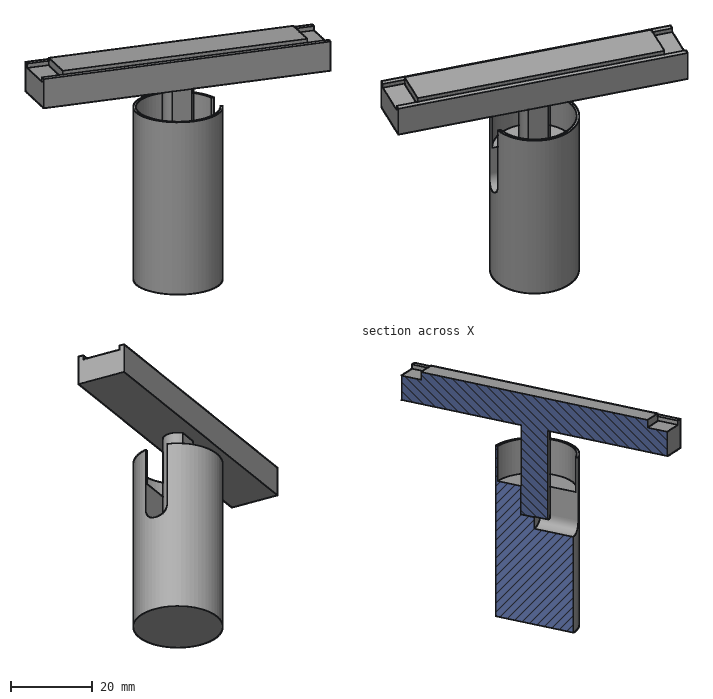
import cadquery as cq

lamp_height = 45.0
neck_gap = 6.75
bar_bottom = lamp_height + neck_gap

facet_count = 64

lamp_diameter = 22.0
lamp_wall = 0.7
cavity_depth = 9.15
slot_width = 6.1
slot_depth = 19.65

stem_diameter = 7.65
stem_width = 5.6

bar_length = 75.0
bar_width = 12.9
bar_height = 7.65
channel_width = 10.2
channel_depth = 1.1
insert_length = 63.9
insert_width = 9.75
insert_rise = 0.9

lamp_radius = lamp_diameter / 2
slot_center_z = lamp_height - slot_depth + slot_width / 2
stem_bottom = slot_center_z
stem_length = bar_bottom - stem_bottom
channel_floor = bar_bottom + bar_height - channel_depth


def make_stem():
    """Faceted post with two flats, from inside the lamp slot up to the track bar."""
    post = (
        cq.Workplane("XY")
        .workplane(offset=stem_bottom)
        .polygon(facet_count, stem_diameter)
        .extrude(stem_length)
    )
    flats = (
        cq.Workplane("XY")
        .workplane(offset=stem_bottom)
        .rect(stem_width, stem_diameter)
        .extrude(stem_length)
    )
    return post.intersect(flats)


def make_slot():
    """Cutter for the swing slot: runs from the lamp axis out through the +Y wall."""
    upper = cq.Workplane("XY").box(
        slot_width, lamp_radius, lamp_height - slot_center_z, centered=(True, False, False)
    ).translate((0, 0, slot_center_z))
    round_bottom = (
        cq.Workplane("XZ")
        .center(0, slot_center_z)
        .circle(slot_width / 2)
        .extrude(-lamp_radius)
    )
    return upper.union(round_bottom)


def make_lamp():
    """Faceted cylindrical lamp with a top cavity, the swing slot and a seat for the stem."""
    body = cq.Workplane("XY").polygon(facet_count, lamp_diameter).extrude(lamp_height)
    cavity = (
        cq.Workplane("XY")
        .workplane(offset=lamp_height - cavity_depth)
        .polygon(facet_count, lamp_diameter - 2 * lamp_wall)
        .extrude(cavity_depth)
    )
    return body.cut(cavity).cut(make_slot()).cut(make_stem())


def make_track_adapter():
    """Track bar with a channel along its top, a raised insert in it and the stem below."""
    bar = cq.Workplane("XY").workplane(offset=bar_bottom).rect(bar_width, bar_length).extrude(bar_height)
    channel = (
        cq.Workplane("XY")
        .workplane(offset=channel_floor)
        .rect(channel_width, bar_length)
        .extrude(channel_depth)
    )
    insert = (
        cq.Workplane("XY")
        .workplane(offset=channel_floor)
        .rect(insert_width, insert_length)
        .extrude(channel_depth + insert_rise)
    )
    return bar.cut(channel).union(insert).union(make_stem())


lamp = make_lamp()
track_adapter = make_track_adapter()

result = cq.Compound.makeCompound([lamp.solids().val(), track_adapter.solids().val()])